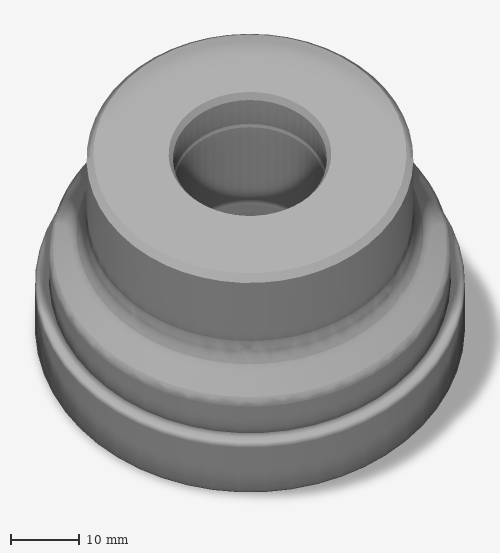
import cadquery as cq
import math

total_height = 40.0
flange_radius = 31.5
flange_height = 11.45
flange_fillet = 0.8
collar_radius = 29.4
neck_radius = 23.95
neck_chamfer = 1.0

shoulder_base_z = 18.35
shoulder_top_z = shoulder_base_z + collar_radius - neck_radius
shoulder_edge_fillet = 2.0
neck_root_fillet = 5.0

bore_radius = 11.3
mouth_flare = 0.6
mouth_angle = 30
mouth_depth = mouth_flare / math.tan(math.radians(mouth_angle))
upper_bore_depth = 6.4
lower_bore_radius = 11.1
step_taper_length = 0.55
step_depth = upper_bore_depth + step_taper_length
lower_bore_depth = 23.95
floor_fillet = 0.55

hole_radius = 5.55
countersink_radius = 9.0
countersink_depth = countersink_radius - hole_radius


def revolve_profile(points):
    """Revolve a closed (radius, height) outline about the Z axis."""
    return cq.Workplane("XZ").polyline(points).close().revolve(360, (0, 0, 0), (0, 1, 0))


def edges_at(radius, z):
    """Select the circular edges of a given radius and height."""
    reach = radius + 0.05
    inner_reach = radius - 0.05
    slab = 0.05
    outer = cq.selectors.BoxSelector((-reach, -reach, z - slab), (reach, reach, z + slab), boundingbox=True)
    inner = cq.selectors.BoxSelector(
        (-inner_reach, -inner_reach, z - slab), (inner_reach, inner_reach, z + slab), boundingbox=True
    )
    return outer - inner


def make_body():
    body = revolve_profile([
        (0, 0),
        (flange_radius, 0),
        (flange_radius, flange_height),
        (collar_radius, flange_height),
        (collar_radius, shoulder_base_z),
        (neck_radius, shoulder_top_z),
        (neck_radius, total_height),
        (0, total_height),
    ])
    for z in (0, flange_height):
        body = body.edges(edges_at(flange_radius, z)).fillet(flange_fillet)
    body = body.edges(edges_at(collar_radius, shoulder_base_z)).fillet(shoulder_edge_fillet)
    body = body.edges(edges_at(neck_radius, shoulder_top_z)).fillet(neck_root_fillet)
    return body.edges(edges_at(neck_radius, total_height)).chamfer(neck_chamfer)


def make_bore():
    floor_z = total_height - lower_bore_depth
    bore = revolve_profile([
        (0, total_height),
        (bore_radius + mouth_flare, total_height),
        (bore_radius, total_height - mouth_depth),
        (bore_radius, total_height - upper_bore_depth),
        (lower_bore_radius, total_height - step_depth),
        (lower_bore_radius, floor_z),
        (0, floor_z),
    ])
    bore = bore.edges(edges_at(lower_bore_radius, floor_z)).fillet(floor_fillet)
    hole = revolve_profile([
        (0, floor_z),
        (countersink_radius, floor_z),
        (hole_radius, floor_z - countersink_depth),
        (hole_radius, 0),
        (0, 0),
    ])
    return bore.union(hole)


result = make_body().cut(make_bore())